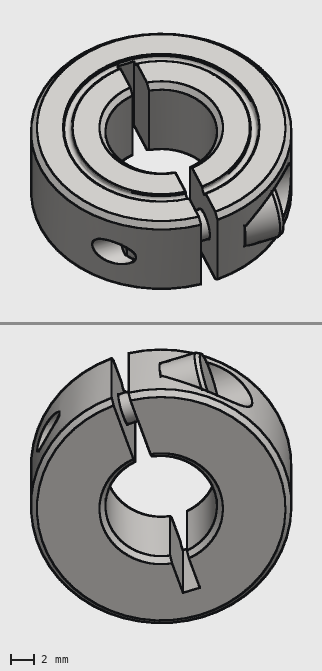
import cadquery as cq

outer_radius = 11.1
width = 8.7
bore_radius = 4.75
edge_chamfer = 0.5
top_z = width / 2

groove_inner_radius = 7.55
groove_outer_radius = 8.37
groove_wall_taper = 0.09
groove_wall_depth = 0.15
groove_depth = 0.47

slot_width = 1.5
slot_end_x = -8.15

screw_x = 7.95
shank_radius = 1.33
shank_length = 10.0
tip_chamfer = 0.67
head_radius = 2.87
head_seat_y = 3.45
head_top_y = 7.0
head_chamfer_radial = 0.2
head_chamfer_axial = 0.4
hole_radius = 1.38


def cylinder_along_y(radius, start_y, end_y):
    """Cylinder on the screw axis between two Y positions."""
    length = end_y - start_y
    return cq.Workplane(cq.Solid.makeCylinder(
        radius, length, cq.Vector(screw_x, start_y, 0), cq.Vector(0, 1, 0)
    ))


def make_ring():
    """Plain ring with all four circular edges chamfered."""
    ring = cq.Workplane("XY").circle(outer_radius).circle(bore_radius).extrude(width)
    return ring.translate((0, 0, -top_z)).faces("|Z").edges().chamfer(edge_chamfer)


def make_groove():
    """Ring of material removed from the top face."""
    middle_radius = (groove_inner_radius + groove_outer_radius) / 2
    wall_end_z = top_z - groove_wall_depth
    return (
        cq.Workplane("XZ")
        .moveTo(groove_inner_radius, top_z)
        .lineTo(groove_inner_radius + groove_wall_taper, wall_end_z)
        .threePointArc(
            (middle_radius, top_z - groove_depth),
            (groove_outer_radius - groove_wall_taper, wall_end_z),
        )
        .lineTo(groove_outer_radius, top_z)
        .close()
        .revolve(360, (0, 0, 0), (0, 1, 0))
    )


def make_slot():
    """Full-height slot from its closed end out through the +X side."""
    slot_length = outer_radius - slot_end_x
    slot = cq.Workplane("XY").box(slot_length, slot_width, width, centered=(False, True, True))
    return slot.translate((slot_end_x, 0, 0))


def make_collar():
    """Slotted collar with a through hole and a counterbore for the screw."""
    screw_hole = cylinder_along_y(hole_radius, -outer_radius, head_seat_y)
    counterbore = cylinder_along_y(head_radius, head_seat_y, outer_radius)
    return make_ring().cut(make_groove()).cut(make_slot()).cut(screw_hole).cut(counterbore)


def make_screw():
    """Cylinder-head screw with a chamfered tip and a bevelled head."""
    shank = cylinder_along_y(shank_radius, head_seat_y - shank_length, head_seat_y)
    shank = shank.faces("<Y").edges().chamfer(tip_chamfer)
    head_bevel_y = head_top_y - head_chamfer_axial
    head = (
        cq.Workplane("XY")
        .moveTo(screw_x, head_seat_y)
        .lineTo(screw_x + head_radius, head_seat_y)
        .lineTo(screw_x + head_radius, head_bevel_y)
        .lineTo(screw_x + head_radius - head_chamfer_radial, head_top_y)
        .lineTo(screw_x, head_top_y)
        .close()
        .revolve(360, (screw_x, 0, 0), (screw_x, 1, 0))
    )
    return head.union(shank)


collar = make_collar()
screw = make_screw()
result = cq.Compound.makeCompound([collar.val(), screw.val()])